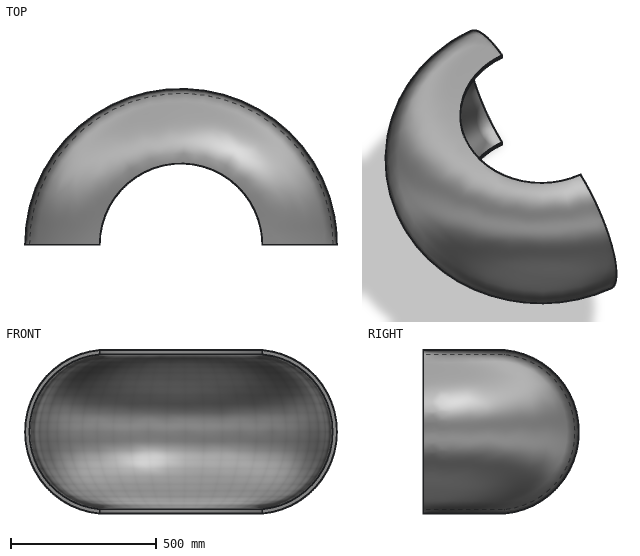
import cadquery as cq

outer_radius = 537.0
tube_diameter = 566.0
wall = 15.0
opening_radius = 279.0
sweep_angle = 180

tube_radius = tube_diameter / 2
inner_tube_radius = tube_radius - wall
tube_center = outer_radius - tube_radius


def revolved_tube(radius):
    """Outer half of a round tube, filled in to the ring axis and swept behind the XZ plane."""
    return (
        cq.Workplane("XZ")
        .moveTo(0, -radius)
        .lineTo(tube_center, -radius)
        .threePointArc((tube_center + radius, 0), (tube_center, radius))
        .lineTo(0, radius)
        .close()
        .revolve(sweep_angle, (0, 0, 0), (0, 1, 0))
    )


shell = revolved_tube(tube_radius).cut(revolved_tube(inner_tube_radius))
opening = cq.Workplane("XY").circle(opening_radius).extrude(tube_radius, both=True)
result = shell.cut(opening)